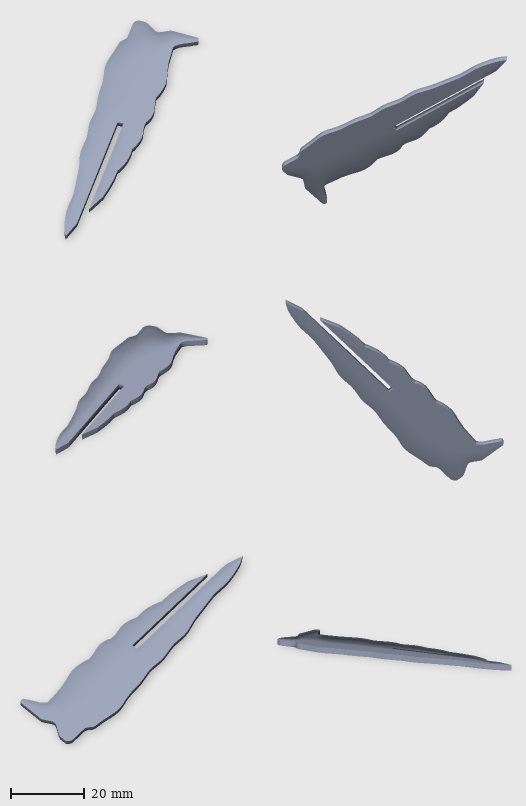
import cadquery as cq

length = 75.35
width = 21.6
thickness = 1.6

slot_left = 9.1
slot_width = 1.65
slot_top = 40.9
slot_right = slot_left + slot_width

tip = (7.5, 0.0)
long_prong_shoulder = (slot_left, 5.1)
short_prong_bend = (13.1, 15.8)
short_prong_end = (slot_right, 10.55)
head_left = (2.8, 72.95)
head_left_base = (2.8, 69.3)
head_corner = (3.25, 74.75)
crown_start = (4.1, length)
crown_end = (6.0, length)
beak_top = 74.8
beak_top_start = (13.6, beak_top)
beak_top_end = (21.0, beak_top)
beak_tip = (width, 74.15)
beak_under = (20.9, 73.2)
throat = (15.75, 69.6)

head_dip = [(7.5, 74.5), (9.05, 73.55), (10.1, 73.2), (11.15, 73.55), (12.2, 74.15), beak_top_start]

beak_hollow = [(19.45, 72.35), (17.8, 71.5), (16.6, 70.7), throat]

right_lobes = [
    [(16.0, 66.3), (16.4, 62.85), (17.0, 60.45), (17.55, 58.2), (17.5, 55.5), (16.6, 52.15)],
    [(16.95, 50.0), (17.5, 47.3), (17.3, 45.2), (16.6, 43.5)],
    [(16.6, 41.15), (17.0, 38.7), (16.7, 36.2), (15.75, 33.5)],
    [(15.8, 30.8), (15.4, 28.3), (14.2, 25.3)],
    [(14.1, 22.15), (13.7, 19.15), short_prong_bend],
]

left_edge = [
    (6.6, 1.65), (5.6, 5.3), (5.05, 9.3), (5.1, 14.1), (4.6, 17.8), (3.7, 23.75),
    (2.8, 27.0), (2.55, 29.85), (2.7, 32.8), (2.2, 36.2), (1.9, 39.2), (2.1, 43.1),
    (1.6, 46.0), (1.2, 48.8), (0.9, 53.35), (0.45, 55.3), (0.0, 58.0), (0.4, 61.3),
    (1.05, 65.25), (1.5, 67.15), (2.25, 68.0), head_left_base,
]


def bird_outline():
    """Closed outline of the bird, before the slot is cut."""
    outline = (
        cq.Workplane("XY")
        .moveTo(*tip)
        .spline(left_edge, includeCurrent=True)
        .lineTo(*head_left)
        .spline([head_corner, crown_start], includeCurrent=True)
        .lineTo(*crown_end)
        .spline(head_dip, includeCurrent=True)
        .lineTo(*beak_top_end)
        .threePointArc(beak_tip, beak_under)
        .spline(beak_hollow, includeCurrent=True)
    )
    for lobe in right_lobes:
        outline = outline.spline(lobe, includeCurrent=True)
    return outline.lineTo(*short_prong_end).lineTo(*long_prong_shoulder).close()


def prong_slot():
    """Straight slot, open at the lower end."""
    slot = cq.Workplane("XY").rect(slot_width, slot_top, centered=False).extrude(thickness)
    return slot.translate((slot_left, 0, 0))


result = bird_outline().extrude(thickness).cut(prong_slot())